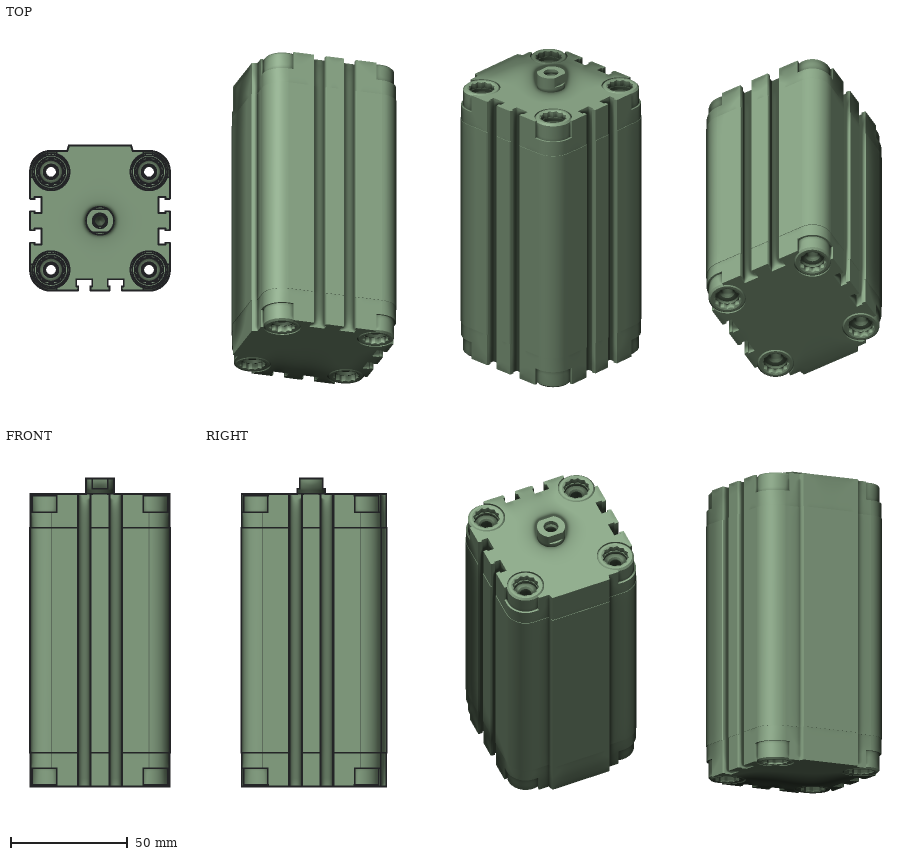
import cadquery as cq
import math


housing_length = 125.4
housing_width = 60.0
half_width = housing_width / 2
pad_height = 2.4
back_pad_y = half_width + pad_height
pad_half_width_outer = 13.3
pad_half_width_inner = 14.0
screw_offset = 21.0

slot_offset = 6.7
slot_mouth_width = 5.1
slot_inner_width = 6.7
slot_lip = 2.0
slot_depth = 4.9
slot_bevel_width = 0.3
barrel_bevel_depth = 0.4
cap_bevel_depth = 0.8

cap_length = 14.5
cap_inset = 0.2

head_diameter = 16.0
head_height = 7.9
head_chamfer = 0.8
notch_inner = 18.6
dish_diameter = 12.4
dish_depth = 0.5
socket_flats = 10.0
socket_hexagons = 2
socket_depth = 2.9
well_diameter = 10.2
well_depth = 4.5
screw_hole_diameter = 4.9
screw_hole_mouth = 6.3

rod_diameter = 12.0
rod_top = 132.0
rod_bottom = cap_length
flat_distance = 10.0
flat_height = 4.4
thread_diameter = 4.9
thread_mouth = 6.3
thread_mouth_depth = 2.1
thread_depth = 11.9
drill_point_angle = 118.0

SCREW_POINTS = [(sx * screw_offset, sy * screw_offset) for sx in (-1, 1) for sy in (-1, 1)]


def cone(bottom_radius, top_radius, height, bottom_z, x=0.0, y=0.0):
    solid = cq.Solid.makeCone(bottom_radius, top_radius, height, cq.Vector(x, y, bottom_z))
    return cq.Workplane(solid)


def cylinder(diameter, bottom_z, top_z, x=0.0, y=0.0):
    return cq.Workplane().workplane(offset=bottom_z).center(x, y).circle(diameter / 2).extrude(top_z - bottom_z)


def profile(inset, bottom_z, top_z):
    """Rounded square with a tapered pad along the back, set in from the barrel surface."""
    height = top_z - bottom_z
    half = half_width - inset
    block = (
        cq.Workplane()
        .workplane(offset=bottom_z)
        .rect(2 * half, 2 * half)
        .extrude(height)
        .edges("|Z")
        .fillet(half - screw_offset)
    )
    pad = (
        cq.Workplane()
        .workplane(offset=bottom_z)
        .polyline([
            (-pad_half_width_inner, 0),
            (-pad_half_width_inner, half),
            (-pad_half_width_outer, back_pad_y - inset),
            (pad_half_width_outer, back_pad_y - inset),
            (pad_half_width_inner, half),
            (pad_half_width_inner, 0),
        ])
        .close()
        .extrude(height)
    )
    return block.union(pad)


def slot_cutter(inset, bevel_depth, bottom_z, top_z):
    """T-slot with a bevelled mouth, centred on X = 0 and opening toward -Y."""
    face = -half_width + inset
    lip = -half_width + slot_lip
    floor = -half_width + slot_depth
    mouth = slot_mouth_width / 2
    inner = slot_inner_width / 2
    right_side = [
        (mouth + slot_bevel_width, face - slot_depth),
        (mouth + slot_bevel_width, face),
        (mouth, face + bevel_depth),
        (mouth, lip),
        (inner, lip),
        (inner, floor),
    ]
    left_side = [(-x, y) for x, y in reversed(right_side)]
    return (
        cq.Workplane()
        .workplane(offset=bottom_z)
        .polyline(right_side + left_side)
        .close()
        .extrude(top_z - bottom_z)
    )


def slotted_section(inset, bevel_depth, bottom_z, top_z):
    """One stretch of the housing with two T-slots on the left, front and right sides."""
    section = profile(inset, bottom_z, top_z)
    slot = slot_cutter(inset, bevel_depth, bottom_z, top_z)
    for angle in (-90, 0, 90):
        for x in (-slot_offset, slot_offset):
            section = section.cut(slot.translate((x, 0, 0)).rotate((0, 0, 0), (0, 0, 1), angle))
    return section


def head_exterior():
    """Corner notch and edge groove that free one head, at the top end, +X +Y corner."""
    bottom = housing_length - head_height
    notch = (
        cq.Workplane()
        .workplane(offset=bottom)
        .rect(half_width - notch_inner, half_width - notch_inner, centered=False)
        .extrude(head_height)
        .translate((notch_inner, notch_inner, 0))
    )
    notch = notch.cut(cylinder(head_diameter, bottom, housing_length, screw_offset, screw_offset))
    radius = head_diameter / 2
    groove_z = housing_length - head_chamfer
    groove = cylinder(head_diameter, groove_z, housing_length, screw_offset, screw_offset).cut(
        cone(radius, radius - head_chamfer, head_chamfer, groove_z, screw_offset, screw_offset)
    )
    return notch.union(groove)


def head_socket():
    """Twelve-point socket, well and hole mouth of one head, at the top end, +X +Y corner."""
    top = housing_length
    x = screw_offset
    y = screw_offset
    socket = cylinder(well_diameter, top - well_depth, top - socket_depth, x, y)
    tip_diameter = socket_flats / math.cos(math.pi / 6)
    for index in range(socket_hexagons):
        hexagon = (
            cq.Workplane()
            .polygon(6, tip_diameter)
            .extrude(socket_depth)
            .rotate((0, 0, 0), (0, 0, 1), index * 60 / socket_hexagons)
            .translate((x, y, top - socket_depth))
        )
        socket = socket.union(hexagon)
    dish = cone(socket_flats / 2, dish_diameter / 2, dish_depth, top - dish_depth, x, y)
    mouth_depth = (screw_hole_mouth - screw_hole_diameter) / 2
    mouth = cone(
        screw_hole_diameter / 2, screw_hole_mouth / 2, mouth_depth, top - well_depth - mouth_depth, x, y
    )
    return socket.union(dish).union(mouth)


def make_housing():
    barrel_top = housing_length - cap_length
    housing = slotted_section(0, barrel_bevel_depth, cap_length, barrel_top)
    for bottom_z, top_z in ((0, cap_length), (barrel_top, housing_length)):
        housing = housing.union(slotted_section(cap_inset, cap_bevel_depth, bottom_z, top_z))
    cutter = head_exterior().union(head_socket())
    for angle in (0, 90, 180, 270):
        top_cutter = cutter.rotate((0, 0, 0), (0, 0, 1), angle)
        housing = housing.cut(top_cutter)
        housing = housing.cut(top_cutter.mirror("XY").translate((0, 0, housing_length)))
    for x, y in SCREW_POINTS:
        housing = housing.cut(cylinder(screw_hole_diameter, 0, housing_length, x, y))
    return housing.cut(cylinder(rod_diameter, rod_bottom, housing_length))


def make_rod():
    rod = cylinder(rod_diameter, rod_bottom, rod_top)
    for side in (-1, 1):
        flat = (
            cq.Workplane()
            .workplane(offset=rod_top - flat_height)
            .center(0, side * (flat_distance / 2 + rod_diameter / 2))
            .rect(rod_diameter, rod_diameter)
            .extrude(flat_height)
        )
        rod = rod.cut(flat)
    radius = thread_diameter / 2
    point = radius / math.tan(math.radians(drill_point_angle / 2))
    taper = (thread_mouth - thread_diameter) / 2
    mouth_floor = rod_top - thread_mouth_depth
    hole = cylinder(thread_diameter, rod_top - thread_depth, rod_top)
    hole = hole.union(cone(0, radius, point, rod_top - thread_depth - point))
    hole = hole.union(cone(radius, thread_mouth / 2, taper, mouth_floor - taper))
    hole = hole.union(cylinder(thread_mouth, mouth_floor, rod_top))
    return rod.cut(hole)


housing = make_housing()
rod = make_rod()
result = cq.Compound.makeCompound([housing.val(), rod.val()])